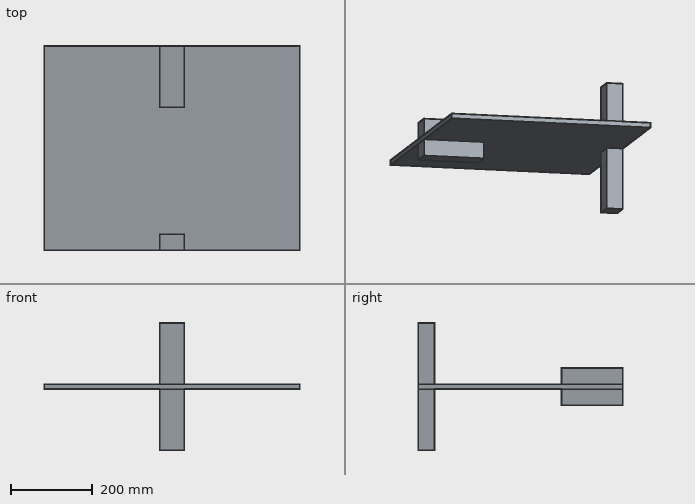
import cadquery as cq

PLATE_LENGTH = 625.0
PLATE_WIDTH = 500.0
PLATE_THICKNESS = 12.0

BAR_LENGTH = 150.0
BAR_WIDTH = 60.0
BAR_THICKNESS = 40.0


def make_plate():
    return cq.Workplane("XY").box(PLATE_LENGTH, PLATE_WIDTH, PLATE_THICKNESS)


def make_bar(depth, height, edge, side):
    """Bar flush with the front (edge -1) or back (edge 1) of the plate, above (side 1) or below (side -1)."""
    y_center = edge * (PLATE_WIDTH - depth) / 2
    z_center = side * (PLATE_THICKNESS + height) / 2
    return cq.Workplane("XY").box(BAR_WIDTH, depth, height).translate((0, y_center, z_center))


def make_upright_post(side):
    """Bar standing on end at the front edge."""
    return make_bar(BAR_THICKNESS, BAR_LENGTH, edge=-1, side=side)


def make_flat_block(side):
    """Bar lying along Y at the back edge."""
    return make_bar(BAR_LENGTH, BAR_THICKNESS, edge=1, side=side)


plate = make_plate()
posts = []
blocks = []
for plate_side in (1, -1):
    posts.append(make_upright_post(plate_side).val())
    blocks.append(make_flat_block(plate_side).val())

result = cq.Compound.makeCompound([plate.val(), *posts, *blocks])